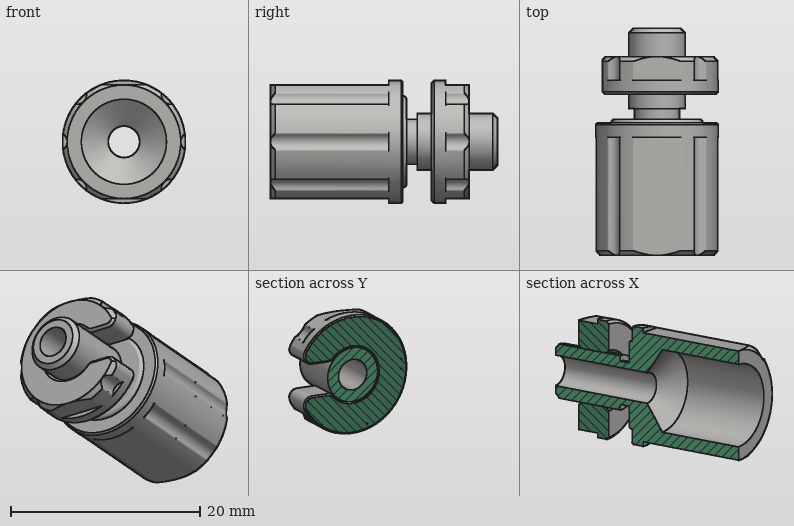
import cadquery as cq
import math

grip_radius = 6.5
flute_depth = 0.5
groove_radius = 1.0
flute_edge_round = 0.2
groove_angles = (0, 45, 135, 180, 225, 315)
flat_angles = (90, 270)
grip_chamfer = 0.5

knob_flute_end = 12.5
knob_length = 14.0
knob_rear_chamfer = 0.2
collar_radius = 4.85
collar_height = 0.4
collar_end = knob_length + collar_height
neck_radius = 2.4
neck_end = 15.5
shaft_radius = 3.0
shaft_end = 24.0
shaft_chamfer = 0.5
socket_radius = 4.5
socket_depth = 10.0
through_hole_radius = 1.65
socket_cone_depth = 2.0

clip_front = 17.0
clip_flute_start = 18.5
clip_back = 21.0
clip_slot_width = 3.5
clip_jaw_round = 1.0
clip_chamfer = 0.3

waste_margin = 1.0


def cylinder(radius, start, end):
    """Solid cylinder on the Y axis between two stations."""
    return cq.Workplane("XZ", origin=(0, start, 0)).circle(radius).extrude(start - end)


def flute_waste(start, end):
    """Material outside the grip section: two flats and six round grooves with rounded edges."""
    middle = (start + end) / 2
    length = end - start
    section = cylinder(grip_radius, start, end)
    flat_distance = grip_radius - flute_depth
    for angle in flat_angles:
        slab = (
            cq.Workplane("XY")
            .box(2 * flute_depth, length, 2 * grip_radius)
            .translate((flat_distance + flute_depth, middle, 0))
            .rotate((0, 0, 0), (0, 1, 0), angle)
        )
        section = section.cut(slab)
    groove_distance = flat_distance + groove_radius
    for angle in groove_angles:
        groove = (
            cylinder(groove_radius, start, end)
            .translate((groove_distance, 0, 0))
            .rotate((0, 0, 0), (0, 1, 0), angle)
        )
        section = section.cut(groove)
    section = section.edges("|Y").fillet(flute_edge_round)
    return cylinder(grip_radius + waste_margin, start, end).cut(section)


def make_knob():
    """Fluted grip, collar, neck and shaft, with a conical-bottomed socket and a through hole."""
    rim_flat_radius = collar_radius - collar_height
    rim_offset = collar_height * math.sqrt(0.5)
    body = (
        cq.Workplane("XY")
        .moveTo(0, 0)
        .lineTo(grip_radius - grip_chamfer, 0)
        .lineTo(grip_radius, grip_chamfer)
        .lineTo(grip_radius, knob_length - knob_rear_chamfer)
        .lineTo(grip_radius - knob_rear_chamfer, knob_length)
        .lineTo(collar_radius, knob_length)
        .threePointArc(
            (rim_flat_radius + rim_offset, knob_length + rim_offset),
            (rim_flat_radius, collar_end),
        )
        .lineTo(neck_radius, collar_end)
        .lineTo(neck_radius, neck_end)
        .lineTo(shaft_radius, neck_end)
        .lineTo(shaft_radius, shaft_end - shaft_chamfer)
        .lineTo(shaft_radius - shaft_chamfer, shaft_end)
        .lineTo(0, shaft_end)
        .close()
        .revolve(360, (0, 0, 0), (0, 1, 0))
    )
    bore = (
        cq.Workplane("XY")
        .moveTo(0, 0)
        .lineTo(socket_radius, 0)
        .lineTo(socket_radius, socket_depth)
        .lineTo(through_hole_radius, socket_depth + socket_cone_depth)
        .lineTo(through_hole_radius, shaft_end)
        .lineTo(0, shaft_end)
        .close()
        .revolve(360, (0, 0, 0), (0, 1, 0))
    )
    return body.cut(bore).cut(flute_waste(0, knob_flute_end))


def make_clip():
    """C-shaped clip, open toward -X, with rounded jaws and the knob's flutes on its rear part."""
    clip_length = clip_back - clip_front
    slot = (
        cq.Workplane("XY")
        .box(grip_radius, clip_length, clip_slot_width)
        .translate((-grip_radius / 2, (clip_front + clip_back) / 2, 0))
    )
    clip = cylinder(grip_radius, clip_front, clip_back)
    clip = clip.cut(cylinder(shaft_radius, clip_front, clip_back)).cut(slot)
    jaw_region = cq.selectors.BoxSelector(
        (-grip_radius, clip_front, -clip_slot_width),
        (0, clip_back, clip_slot_width),
    )
    clip = clip.edges("|Y").edges(jaw_region).fillet(clip_jaw_round)
    clip = clip.faces("<Y or >Y").chamfer(clip_chamfer)

    rear_cone_waste = (
        cq.Workplane("XY")
        .moveTo(grip_radius, clip_back - grip_chamfer)
        .lineTo(grip_radius, clip_back)
        .lineTo(grip_radius - grip_chamfer, clip_back)
        .close()
        .revolve(360, (0, 0, 0), (0, 1, 0))
    )
    return clip.cut(rear_cone_waste).cut(flute_waste(clip_flute_start, clip_back))


knob = make_knob()
clip = make_clip()

result = cq.Compound.makeCompound([knob.val(), clip.val()])